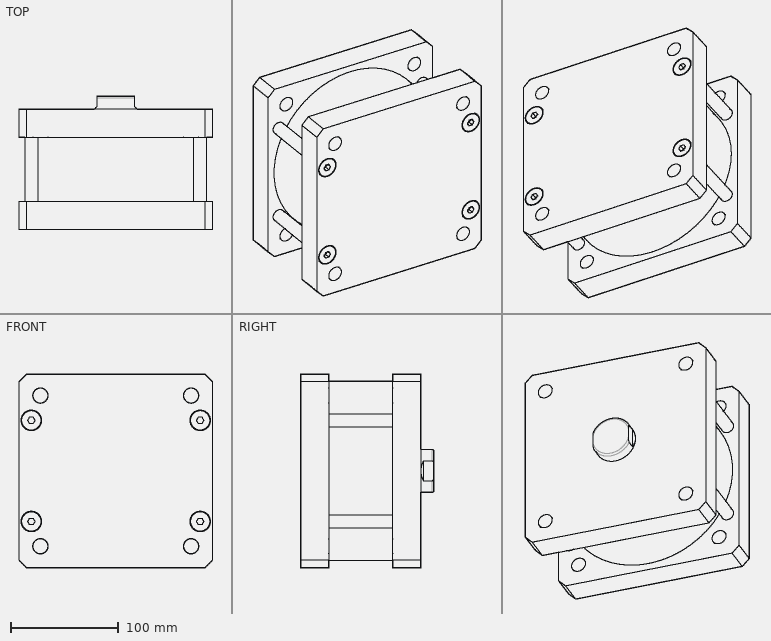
import cadquery as cq
import math

plate_side = 180.0
plate_thickness = 26.3
plate_corner_chamfer = 7.0

barrel_diameter = 167.0
barrel_length = 59.4

mount_hole_diameter = 13.9
mount_hole_offset = 70.0

tie_rod_diameter = 12.0
tie_rod_x = 78.5
tie_rod_z = 47.0
counterbore_diameter = 19.0
counterbore_depth = 12.6
screw_head_diameter = 18.0
hex_width = 6.0
hex_depth = 5.4

piston_diameter = 40.0
piston_length = 12.0
piston_tip_radius = 1.8
flats_width = 35.3
flats_start = 2.3

rear_plate_front = plate_thickness + barrel_length
rear_face = rear_plate_front + plate_thickness
piston_tip = rear_face + piston_length


def four_points(x, z):
    """The four points mirrored about both plate center lines."""
    return [(-x, -z), (-x, z), (x, -z), (x, z)]


mount_hole_points = four_points(mount_hole_offset, mount_hole_offset)
tie_rod_points = four_points(tie_rod_x, tie_rod_z)


def plane_at(y):
    """Work plane at depth y, with local axes X, Z and the normal along -Y."""
    return cq.Workplane("XZ", origin=(0, y, 0))


def end_plate(front_y):
    return (
        plane_at(front_y)
        .rect(plate_side, plate_side)
        .extrude(-plate_thickness)
        .edges("|Y")
        .chamfer(plate_corner_chamfer)
        .faces("<Y")
        .workplane(origin=(0, front_y, 0))
        .pushPoints(mount_hole_points)
        .hole(mount_hole_diameter)
    )


def barrel():
    return plane_at(plate_thickness).circle(barrel_diameter / 2).extrude(-barrel_length)


def tie_rods():
    return (
        plane_at(plate_thickness)
        .pushPoints(tie_rod_points)
        .circle(tie_rod_diameter / 2)
        .extrude(-barrel_length)
    )


def screw_recesses():
    """Ring gaps around the screw heads and the hexagon sockets inside them."""
    ring_gaps = (
        plane_at(0)
        .pushPoints(tie_rod_points)
        .circle(counterbore_diameter / 2)
        .circle(screw_head_diameter / 2)
        .extrude(-counterbore_depth)
    )
    hex_corner_diameter = hex_width / math.cos(math.pi / 6)
    sockets = plane_at(0).pushPoints(tie_rod_points).polygon(6, hex_corner_diameter).extrude(-hex_depth)
    return ring_gaps.union(sockets)


def wrench_flat_cut(side):
    """Cutter for one flat, with a 45 degree shoulder running out to the rod surface."""
    flat_x = flats_width / 2
    outer_x = piston_diameter
    shoulder_y = rear_face + flats_start
    outline = [
        (side * flat_x, piston_tip),
        (side * flat_x, shoulder_y),
        (side * outer_x, shoulder_y - (outer_x - flat_x)),
        (side * outer_x, piston_tip),
    ]
    return cq.Workplane("XY").polyline(outline).close().extrude(piston_diameter / 2, both=True)


def piston_rod():
    rod = (
        plane_at(rear_face)
        .circle(piston_diameter / 2)
        .extrude(-piston_length)
        .faces(">Y")
        .edges()
        .fillet(piston_tip_radius)
    )
    for side in (-1, 1):
        rod = rod.cut(wrench_flat_cut(side))
    return rod


result = (
    end_plate(0)
    .union(barrel())
    .union(tie_rods())
    .union(end_plate(rear_plate_front))
    .union(piston_rod())
    .cut(screw_recesses())
)